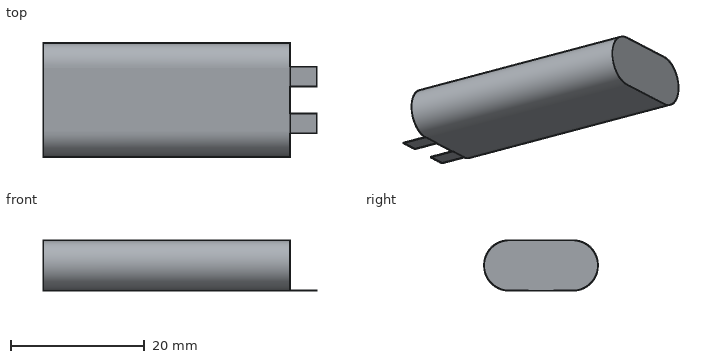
import cadquery as cq

total_length = 41.0
body_width = 17.1
body_height = 7.6

tab_length = 4.0
tab_width = 3.0
tab_gap = 4.0
tab_thickness = 0.1

body_length = total_length - tab_length
tab_offset = (tab_gap + tab_width) / 2


def make_body():
    """Bar with fully rounded long sides, starting at X = 0 and resting on Z = 0."""
    return (
        cq.Workplane("YZ")
        .center(0, body_height / 2)
        .slot2D(body_width, body_height)
        .extrude(body_length)
    )


def make_tab(center_y):
    """Thin strip flush with the underside, butting against the end face."""
    return (
        cq.Workplane("XY")
        .box(tab_length, tab_width, tab_thickness, centered=(False, True, False))
        .translate((body_length, center_y, 0))
    )


result = make_body()
for side in (-1, 1):
    result = result.union(make_tab(side * tab_offset))